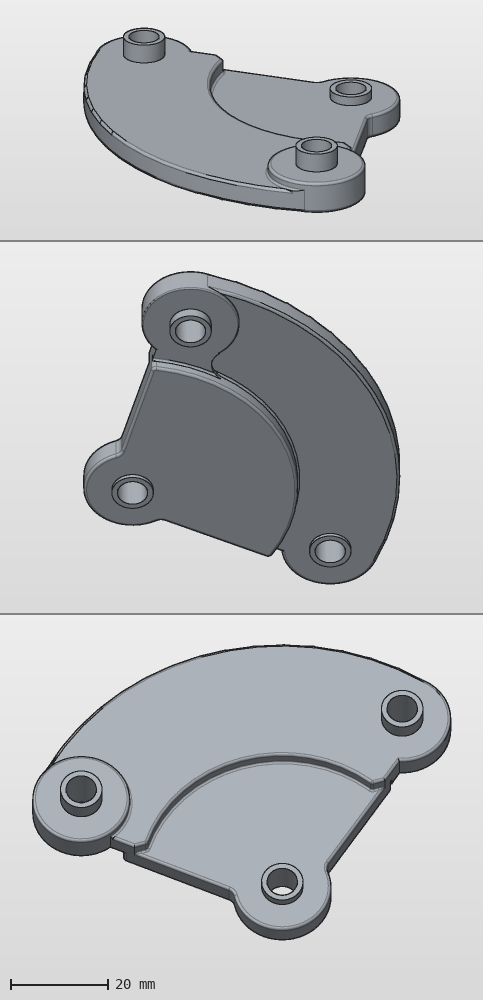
import cadquery as cq
import math

pivot_lobe_radius = 10.05
lobe_radius = 10.0
collar_radius = lobe_radius + 0.04
pin_circle_radius = 45.0
half_angle = math.radians(50)
side_offset = lobe_radius / 2
outer_radius = pin_circle_radius + lobe_radius
lower_radius = 34.0
recess_radius = 29.0
recess_end_y = -16.1

lower_bottom = 0.9
lower_top = 6.0
upper_bottom = 4.3
upper_top = 9.0
left_collar_bottom = 3.5
right_collar_top = 11.0

web_top = 5.1
root_base = 6.7

pivot_pin_span = (0, 7.9)
left_pin_span = (1.3, 13.0)
right_pin_span = (3.5, 15.0)
pin_diameter = 8.5
bore_diameter = 6.2

edge_round = 0.58
root_round = 0.45
collar_edge_round = 0.3
waist_round = 2.0
corner_round = 1.0
recess_corner_round = 0.7
web_round = 4.0

pin_x = pin_circle_radius * math.sin(half_angle)
pin_y = -pin_circle_radius * math.cos(half_angle)


def cylinder(x, y, radius, bottom, top):
    return cq.Workplane("XY", origin=(x, y, bottom)).circle(radius).extrude(top - bottom)


def polar_point(radius, angle):
    """Point around the pivot, at an angle from -Y toward +X."""
    return (radius * math.sin(angle), -radius * math.cos(angle))


def side_point(distance):
    """Point on the right straight side, at a distance along it from the pivot."""
    return (
        distance * math.sin(half_angle) + side_offset * math.cos(half_angle),
        -distance * math.cos(half_angle) + side_offset * math.sin(half_angle),
    )


def mirrored(point):
    return (-point[0], point[1])


waist = side_point(math.sqrt(pivot_lobe_radius**2 - side_offset**2))
lobe_chord = math.sqrt(lobe_radius**2 - side_offset**2)
pin_corner = side_point(pin_circle_radius - lobe_chord)
rim_corner = side_point(math.sqrt(lower_radius**2 - side_offset**2))


def make_lower_plate():
    plate = (
        cq.Workplane("XY", origin=(0, 0, lower_bottom))
        .moveTo(*waist)
        .lineTo(*rim_corner)
        .threePointArc((0, -lower_radius), mirrored(rim_corner))
        .lineTo(*mirrored(waist))
        .threePointArc((0, pivot_lobe_radius), waist)
        .close()
        .extrude(lower_top - lower_bottom)
    )
    plate = plate.edges("|Z").edges(">Y").fillet(waist_round)
    plate = plate.edges("|Z").edges("<X or >X").fillet(corner_round)
    return plate.faces("<Z or >Z").edges().fillet(edge_round)


def make_recess():
    """Space inside the stepped wall of the upper plate."""
    end_x = math.sqrt(recess_radius**2 - recess_end_y**2)
    corner_margin = 0.9
    recess = (
        cq.Workplane("XY", origin=(0, 0, upper_bottom))
        .moveTo(-outer_radius, recess_end_y)
        .lineTo(-end_x, recess_end_y)
        .threePointArc((0, -recess_radius), (end_x, recess_end_y))
        .lineTo(outer_radius, recess_end_y)
        .lineTo(outer_radius, outer_radius)
        .lineTo(-outer_radius, outer_radius)
        .close()
        .extrude(upper_top)
    )
    wall_corners = cq.selectors.BoxSelector(
        (-end_x - corner_margin, recess_end_y - corner_margin, 0),
        (end_x + corner_margin, recess_end_y + corner_margin, 2 * upper_top),
    )
    return recess.edges("|Z").edges(wall_corners).fillet(recess_corner_round)


def sector_outline(bottom, top):
    """Both pin lobes, the outer arc and the straight sides meeting inside the pivot lobe."""
    lobe_end = polar_point(outer_radius, half_angle)
    lobe_side = (pin_x + lobe_radius, pin_y)
    return (
        cq.Workplane("XY", origin=(0, 0, bottom))
        .moveTo(*pin_corner)
        .threePointArc(lobe_side, lobe_end)
        .threePointArc((0, -outer_radius), mirrored(lobe_end))
        .threePointArc(mirrored(lobe_side), mirrored(pin_corner))
        .lineTo(0, side_offset / math.sin(half_angle))
        .close()
        .extrude(top - bottom)
    )


def make_upper_plate():
    plate = sector_outline(upper_bottom, upper_top).cut(make_recess())
    return plate.faces("<Z or >Z").edges().fillet(edge_round)


def edges_at(solid, height, radius=None):
    """Level edges at a height, or only the circular ones of a given radius."""
    tolerance = 0.001
    chosen = []
    for edge in solid.edges().vals():
        box = edge.BoundingBox()
        level = abs(box.zmin - height) < tolerance and abs(box.zmax - height) < tolerance
        if radius is None:
            matches = True
        else:
            matches = edge.geomType() == "CIRCLE" and abs(edge.radius() - radius) < tolerance
        if level and matches:
            chosen.append(edge)
    return solid.newObject(chosen)


def join_plates():
    plates = make_lower_plate().union(make_upper_plate())
    wall_box = cq.selectors.BoxSelector(
        (-pin_x, -recess_radius, 0), (pin_x, recess_end_y + root_round, upper_top)
    )
    plates = edges_at(plates, lower_top).edges(wall_box).fillet(root_round)
    return edges_at(plates, upper_bottom, lower_radius).fillet(root_round)


def make_right_collar():
    collar = cylinder(pin_x, pin_y, collar_radius, upper_bottom, right_collar_top)
    return collar.faces("<Z or >Z").edges().fillet(edge_round)


def make_right_collar_root():
    """Concave flare where the right collar stands on the plate, ending at the plate outline."""
    foot_radius = collar_radius + root_round
    flare = (
        cq.Workplane("XZ")
        .moveTo(pin_diameter / 2, root_base)
        .lineTo(foot_radius, root_base)
        .lineTo(foot_radius, upper_top)
        .radiusArc((collar_radius, upper_top + root_round), root_round)
        .lineTo(pin_diameter / 2, upper_top + root_round)
        .close()
        .revolve(360, (0, 0), (0, 1))
        .translate((pin_x, pin_y, 0))
    )
    return flare.intersect(sector_outline(root_base, right_collar_top))


def make_left_collar():
    collar = cylinder(-pin_x, pin_y, collar_radius, left_collar_bottom, upper_top)
    collar = collar.faces("<Z").edges().fillet(collar_edge_round)
    return collar.faces(">Z").edges().fillet(edge_round)


def web_outline(bottom, top):
    """Fills from the left collar to the lower plate rim, with a concave arc between them."""
    rim_distance = lower_radius + web_round
    collar_distance = collar_radius + web_round
    turn = math.acos(
        (rim_distance**2 + pin_circle_radius**2 - collar_distance**2) / (2 * rim_distance * pin_circle_radius)
    )
    center_x, center_y = polar_point(rim_distance, turn - half_angle)
    rim_tangent = polar_point(lower_radius, turn - half_angle)
    toward_collar = math.atan2(pin_y - center_y, -pin_x - center_x)
    toward_rim = math.atan2(-center_y, -center_x)
    middle = (toward_collar + toward_rim) / 2

    def on_arc(angle):
        return (center_x + web_round * math.cos(angle), center_y + web_round * math.sin(angle))

    return (
        cq.Workplane("XY", origin=(0, 0, bottom))
        .moveTo(-pin_x, pin_y)
        .lineTo(*on_arc(toward_collar))
        .threePointArc(on_arc(middle), rim_tangent)
        .lineTo(*mirrored(rim_corner))
        .lineTo(*mirrored(pin_corner))
        .close()
        .extrude(top - bottom)
    )


def make_left_web():
    return web_outline(left_collar_bottom, web_top)


def make_left_web_root():
    """Concave root under the web, along the rim of the lower plate."""
    inner_radius = lower_radius - root_round
    foot = left_collar_bottom - root_round
    ring = (
        cq.Workplane("XZ")
        .moveTo(inner_radius, web_top)
        .lineTo(lower_radius + root_round, web_top)
        .lineTo(lower_radius + root_round, left_collar_bottom)
        .radiusArc((lower_radius, foot), -root_round)
        .lineTo(inner_radius, foot)
        .close()
        .revolve(360, (0, 0), (0, 1))
    )
    return ring.intersect(web_outline(foot, web_top))


result = join_plates()
for feature in (
    make_left_web(),
    make_left_web_root(),
    make_left_collar(),
    make_right_collar(),
    make_right_collar_root(),
):
    result = result.union(feature, clean=False)

for x, y, (bottom, top) in (
    (0, 0, pivot_pin_span),
    (-pin_x, pin_y, left_pin_span),
    (pin_x, pin_y, right_pin_span),
):
    result = result.union(cylinder(x, y, pin_diameter / 2, bottom, top), clean=False)
    result = result.cut(cylinder(x, y, bore_diameter / 2, bottom, top), clean=False)

result = result.clean()